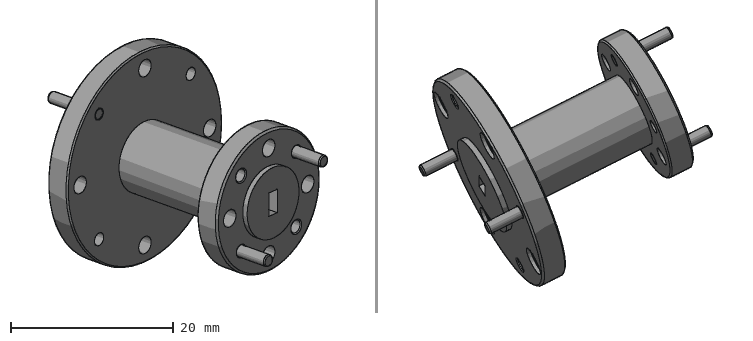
import cadquery as cq
import math


OVERALL_LENGTH = 33.15
MATING_LENGTH = 25.4
FLANGE_THICKNESS = 3.3
RAISED_FACE_HEIGHT = 0.73

LARGE_FLANGE_DIAMETER = 28.58
SMALL_FLANGE_DIAMETER = 19.05
LARGE_RAISED_FACE_DIAMETER = 12.7
TUBE_DIAMETER = 9.5
FRONT_CHAMFER = 0.25
BACK_CHAMFER = 0.2

GUIDE_WIDTH_Y = 1.55
GUIDE_HEIGHT_Z = 3.15

LARGE_BOLT_CIRCLE_RADIUS = 11.9
SMALL_BOLT_CIRCLE_RADIUS = 7.15
SCREW_HOLE_DIAMETER = 2.3
COUNTERBORE_DIAMETER = 3.6
COUNTERBORE_DEPTH = 0.5
DOWEL_HOLE_DIAMETER = 1.7
DOWEL_HOLE_CHAMFER = 0.15
PIN_DIAMETER = 1.55
PIN_END_CHAMFER_LENGTH = 0.2
PIN_END_CHAMFER_DEPTH = 0.1
PIN_HOLE_CHAMFER = 0.1

HALF_LENGTH = OVERALL_LENGTH / 2
HALF_MATING_LENGTH = MATING_LENGTH / 2
FLANGE_FRONT = HALF_MATING_LENGTH - RAISED_FACE_HEIGHT
FLANGE_BACK = FLANGE_FRONT - FLANGE_THICKNESS
PIN_LENGTH = HALF_LENGTH - FLANGE_BACK

SCREW_ANGLES = (0, 90, 180, 270)
LARGE_PIN_ANGLES = (135, 315)
LARGE_DOWEL_HOLE_ANGLES = (45, 225)
SMALL_PIN_ANGLES = (45, 225)
SMALL_DOWEL_HOLE_ANGLES = (135, 315)

LARGE_END = -1
SMALL_END = 1


def on_circle(radius, angles):
    """(Y, Z) points at the given angles on a circle about the axis."""
    return [
        (radius * math.cos(math.radians(a)), radius * math.sin(math.radians(a)))
        for a in angles
    ]


def rod(diameter, start_x, end_x, centers=((0, 0),)):
    """Cylinders along X from start_x to end_x, one at each (Y, Z) centre."""
    return (
        cq.Workplane("YZ", origin=(start_x, 0, 0))
        .pushPoints(centers)
        .circle(diameter / 2)
        .extrude(end_x - start_x)
    )


def chamfered_rod(diameter, back_x, front_x, back_chamfer, front_chamfer):
    """Cylinder on the axis with a different chamfer at each end."""
    outward = ">X" if front_x > back_x else "<X"
    inward = "<X" if front_x > back_x else ">X"
    body = rod(diameter, back_x, front_x)
    body = body.faces(outward).edges().chamfer(front_chamfer)
    return body.faces(inward).edges().chamfer(back_chamfer)


def flange(end, diameter, raised_face_diameter):
    """Round flange with its raised face, before any hole is cut."""
    disc = chamfered_rod(diameter, end * FLANGE_BACK, end * FLANGE_FRONT, BACK_CHAMFER, FRONT_CHAMFER)
    return disc.union(rod(raised_face_diameter, end * FLANGE_BACK, end * HALF_MATING_LENGTH))


def flange_holes(end, diameter, centers, chamfer=0):
    """Through holes for one flange, with an optional chamfer on the mating side."""
    holes = rod(diameter, end * FLANGE_BACK, end * FLANGE_FRONT, centers)
    if chamfer:
        cones = (
            cq.Workplane("YZ", origin=(end * FLANGE_FRONT, 0, 0))
            .pushPoints(centers)
            .circle(diameter / 2 + chamfer)
            .extrude(-end * chamfer, taper=45)
        )
        holes = holes.union(cones)
    return holes


def make_pin(end, center):
    """Dowel pin from the back of its flange outward, with both ends chamfered."""
    y, z = center
    radius = PIN_DIAMETER / 2
    end_radius = radius - PIN_END_CHAMFER_DEPTH
    half_profile = [
        (0, 0),
        (0, end_radius),
        (PIN_END_CHAMFER_LENGTH, radius),
        (PIN_LENGTH - PIN_END_CHAMFER_LENGTH, radius),
        (PIN_LENGTH, end_radius),
        (PIN_LENGTH, 0),
    ]
    pin = cq.Workplane("XY").polyline(half_profile).close().revolve(360, (0, 0, 0), (1, 0, 0))
    start_x = FLANGE_BACK if end > 0 else -HALF_LENGTH
    return pin.translate((start_x, y, z))


def make_pins(end, circle_radius, angles):
    """The dowel pins of one flange, each a separate solid."""
    return [make_pin(end, center).val() for center in on_circle(circle_radius, angles)]


def make_body():
    """Tube and both flanges in one piece, with the guide and all holes."""
    body = rod(TUBE_DIAMETER, -FLANGE_BACK, FLANGE_BACK)
    body = body.union(flange(LARGE_END, LARGE_FLANGE_DIAMETER, LARGE_RAISED_FACE_DIAMETER))
    body = body.union(flange(SMALL_END, SMALL_FLANGE_DIAMETER, TUBE_DIAMETER))

    body = body.cut(cq.Workplane("XY").box(MATING_LENGTH, GUIDE_WIDTH_Y, GUIDE_HEIGHT_Z))

    for end, radius, dowel_angles, pin_angles in (
        (LARGE_END, LARGE_BOLT_CIRCLE_RADIUS, LARGE_DOWEL_HOLE_ANGLES, LARGE_PIN_ANGLES),
        (SMALL_END, SMALL_BOLT_CIRCLE_RADIUS, SMALL_DOWEL_HOLE_ANGLES, SMALL_PIN_ANGLES),
    ):
        screws = on_circle(radius, SCREW_ANGLES)
        dowels = on_circle(radius, dowel_angles)
        pins = on_circle(radius, pin_angles)
        body = body.cut(flange_holes(end, SCREW_HOLE_DIAMETER, screws))
        body = body.cut(flange_holes(end, DOWEL_HOLE_DIAMETER, dowels, DOWEL_HOLE_CHAMFER))
        body = body.cut(flange_holes(end, PIN_DIAMETER, pins, PIN_HOLE_CHAMFER))

    counterbore_floor = FLANGE_FRONT - COUNTERBORE_DEPTH
    screws = on_circle(LARGE_BOLT_CIRCLE_RADIUS, SCREW_ANGLES)
    return body.cut(
        rod(COUNTERBORE_DIAMETER, LARGE_END * counterbore_floor, LARGE_END * FLANGE_FRONT, screws)
    )


body = make_body()
large_pins = make_pins(LARGE_END, LARGE_BOLT_CIRCLE_RADIUS, LARGE_PIN_ANGLES)
small_pins = make_pins(SMALL_END, SMALL_BOLT_CIRCLE_RADIUS, SMALL_PIN_ANGLES)

result = cq.Compound.makeCompound([body.val(), *large_pins, *small_pins])